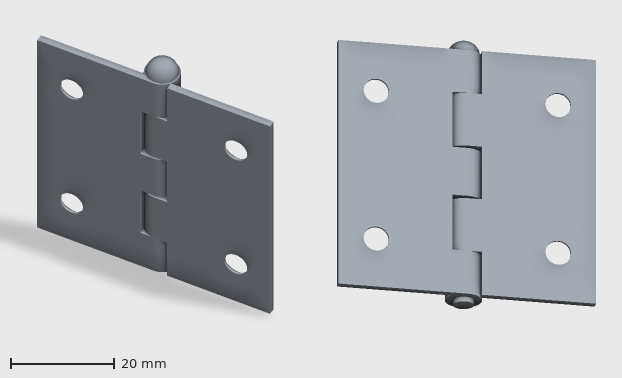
import cadquery as cq
import math


hinge_width = 51.0
leaf_height = 51.0
barrel_diameter = 7.2
bore_diameter = 4.1
barrel_radius = barrel_diameter / 2
bore_radius = bore_diameter / 2
leaf_thickness = barrel_radius - bore_radius
leaf_front_y = -barrel_radius
leaf_back_y = leaf_front_y + leaf_thickness

notch_reach = math.sqrt(barrel_radius**2 - leaf_back_y**2)

middle_knuckle_height = 10.0
inner_knuckle_height = 11.0
knuckle_gap = 0.5
leaf_middle_z = leaf_height / 2
middle_bottom = leaf_middle_z - middle_knuckle_height / 2
middle_top = leaf_middle_z + middle_knuckle_height / 2
lower_inner_top = middle_bottom - knuckle_gap
lower_inner_bottom = lower_inner_top - inner_knuckle_height
upper_inner_bottom = middle_top + knuckle_gap
upper_inner_top = upper_inner_bottom + inner_knuckle_height

left_knuckles = [(0, lower_inner_bottom), (middle_bottom, middle_top), (upper_inner_top, leaf_height)]
right_knuckles = [(lower_inner_bottom, lower_inner_top), (upper_inner_bottom, upper_inner_top)]

screw_hole_diameter = 5.0
screw_hole_land = 0.5
countersink_angle = 90
countersink_depth = leaf_thickness - screw_hole_land
countersink_spread = countersink_depth * math.tan(math.radians(countersink_angle / 2))
countersink_diameter = screw_hole_diameter + 2 * countersink_spread
screw_hole_offset_x = 18.0
screw_hole_offset_z = 15.45

pin_diameter = 4.0
pin_protrusion = 1.0
head_diameter = 6.45
head_height = 3.0
head_flat_diameter = 0.6


def make_plate(side, start_x, bottom, top):
    """Flat piece of leaf from start_x to its outer edge; side is -1 for left, +1 for right."""
    length = hinge_width / 2 - start_x
    return cq.Workplane("XY").box(length, leaf_thickness, top - bottom).translate(
        (side * (start_x + length / 2), leaf_front_y + leaf_thickness / 2, (bottom + top) / 2)
    )


def make_cylinder(diameter, bottom, top):
    """Cylinder on the pin axis."""
    return cq.Workplane("XY").workplane(offset=bottom).circle(diameter / 2).extrude(top - bottom)


def make_leaf(side, knuckles):
    """Notched plate with its knuckles, pin bore and screw holes."""
    leaf = make_plate(side, notch_reach, 0, leaf_height)
    for bottom, top in knuckles:
        leaf = leaf.union(make_plate(side, 0, bottom, top))
        leaf = leaf.union(make_cylinder(barrel_diameter, bottom, top))
    leaf = leaf.cut(make_cylinder(bore_diameter, 0, leaf_height))

    back_face = cq.Plane(
        origin=(side * screw_hole_offset_x, leaf_back_y, leaf_middle_z), xDir=(1, 0, 0), normal=(0, 1, 0)
    )
    hole_places = [(0, -screw_hole_offset_z), (0, screw_hole_offset_z)]
    return (
        leaf.copyWorkplane(cq.Workplane(back_face))
        .pushPoints(hole_places)
        .cskHole(screw_hole_diameter, countersink_diameter, countersink_angle, leaf_thickness)
    )


def make_pin():
    """Straight shank with a rounded head resting on the top knuckle."""
    shank = make_cylinder(pin_diameter, -pin_protrusion, leaf_height)
    rounding_radius = (head_diameter - head_flat_diameter) / 2
    head = make_cylinder(head_diameter, leaf_height, leaf_height + head_height)
    head = head.faces(">Z").edges().fillet(rounding_radius)
    return shank.union(head)


left_leaf = make_leaf(-1, left_knuckles)
right_leaf = make_leaf(1, right_knuckles)
pin = make_pin()

result = cq.Compound.makeCompound([left_leaf.val(), right_leaf.val(), pin.val()])